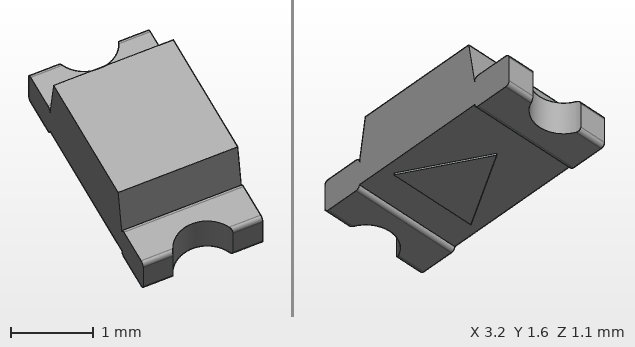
import cadquery as cq
import math

LENGTH = 3.2
WIDTH = 1.6
HEIGHT = 1.1

LENS_TOP_LENGTH = 1.798
BODY_LENGTH = 2.0

TERMINAL_HEIGHT = 0.5
EDGE_RADIUS = 0.06

STANDOFF = 0.06

NOTCH_DEPTH = 0.3
NOTCH_WIDTH = 0.8

MARK_LENGTH = 1.12
MARK_WIDTH = 2 * MARK_LENGTH / math.sqrt(3)
MARK_THICKNESS = 0.03


def make_body():
    """Lens and central board as one profile extruded across the width."""
    half_body = BODY_LENGTH / 2
    half_top = LENS_TOP_LENGTH / 2
    slope_start = TERMINAL_HEIGHT - EDGE_RADIUS
    return (
        cq.Workplane("XZ")
        .moveTo(-half_body, STANDOFF)
        .lineTo(half_body, STANDOFF)
        .lineTo(half_body, slope_start)
        .lineTo(half_top, HEIGHT)
        .lineTo(-half_top, HEIGHT)
        .lineTo(-half_body, slope_start)
        .close()
        .extrude(WIDTH / 2, both=True)
    )


def make_terminal(side):
    """Rounded terminal block at one end; side is -1 or +1 along X."""
    terminal_length = (LENGTH - BODY_LENGTH) / 2
    centre_x = side * (LENGTH - terminal_length) / 2
    block = (
        cq.Workplane("XY")
        .box(terminal_length, WIDTH, TERMINAL_HEIGHT, centered=(True, True, False))
        .edges("|Y")
        .fillet(EDGE_RADIUS)
    )
    return block.translate((centre_x, 0, 0))


def make_notch(side):
    """Cylinder whose arc spans the notch width and depth at one end."""
    radius = ((NOTCH_WIDTH / 2) ** 2 + NOTCH_DEPTH**2) / (2 * NOTCH_DEPTH)
    centre_x = side * (LENGTH / 2 - NOTCH_DEPTH + radius)
    return cq.Workplane("XY").center(centre_x, 0).circle(radius).extrude(TERMINAL_HEIGHT)


def make_polarity_mark():
    """Thin triangle hanging below the body."""
    half_length = MARK_LENGTH / 2
    half_width = MARK_WIDTH / 2
    return (
        cq.Workplane("XY", origin=(0, 0, STANDOFF - MARK_THICKNESS))
        .moveTo(-half_length, 0)
        .lineTo(half_length, half_width)
        .lineTo(half_length, -half_width)
        .close()
        .extrude(MARK_THICKNESS)
    )


result = make_body().union(make_polarity_mark())
for end in (-1, 1):
    result = result.union(make_terminal(end))
    result = result.cut(make_notch(end))